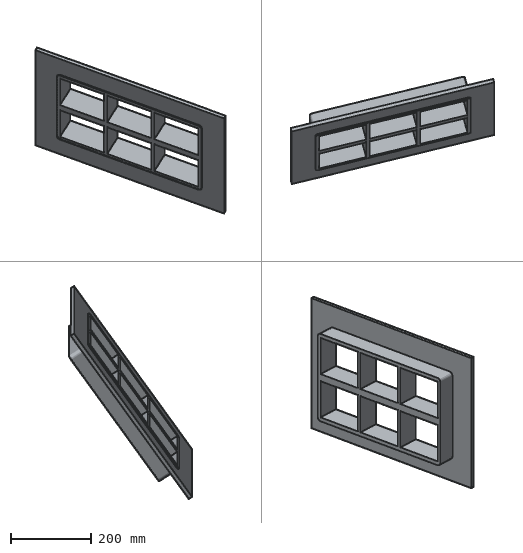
import cadquery as cq

plate_width = 521.5
plate_height = 362.0
plate_thickness = 10.0

block_width = 400.0
block_height = 243.0
block_depth = 60.0
front_projection = 3.0
corner_radius = 10.0

columns = 3
rows = 2
window_width = 121.0
window_height = 100.5
upright_rib = 9.5
cross_rib = 20.0

column_pitch = window_width + upright_rib
row_pitch = window_height + cross_rib


def slab(width, height, thickness, front_y):
    """Rectangular slab centred on X and Z, extending toward +Y from front_y."""
    return (
        cq.Workplane("XY")
        .box(width, thickness, height, centered=(True, False, True))
        .translate((0, front_y, 0))
    )


plate = slab(plate_width, plate_height, plate_thickness, front_projection)
block = slab(block_width, block_height, block_depth, 0).edges("|Y").fillet(corner_radius)
body = plate.union(block)

windows = (
    cq.Workplane("XZ")
    .rarray(column_pitch, row_pitch, columns, rows)
    .rect(window_width, window_height)
    .extrude(-block_depth)
)

result = body.cut(windows)